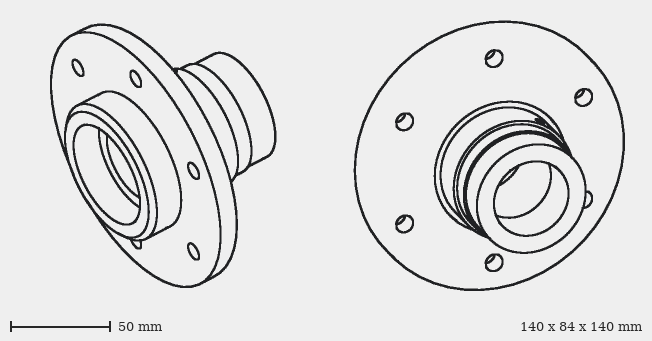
import cadquery as cq
import math

pilot_length = 18.2
flange_back = 30.0
collar_start = 35.0
collar_end = 39.0
seat_end = 58.2
land_end = 68.0
total_length = 84.0

flange_diameter = 140.0
pilot_diameter = 75.0
collar_diameter = 70.0
seat_diameter = 63.8
land_diameter = 60.2
nose_diameter = 58.0
pilot_chamfer = 3.0
flange_rounding = 3.0

counterbore_diameter = 54.9
counterbore_depth = 16.0
bore_diameter = 42.0
lip_diameter = 39.7
lip_start = seat_end

bolt_count = 6
bolt_circle_diameter = 110.0
bolt_hole_diameter = 9.0

oil_hole_diameter = 4.2
oil_hole_y = 52.9
oil_hole_angle = 120.0
oil_hole_lean = -45.0
oil_hole_overshoot = 2.8


def revolved_body():
    """Outer profile, drawn as (radius, Y) and turned about the Y axis."""
    flange_radius = flange_diameter / 2
    pilot_radius = pilot_diameter / 2
    collar_radius = collar_diameter / 2
    root_radius = collar_start - flange_back
    arc_offset = root_radius * (1 - math.sqrt(0.5))
    rounding_offset = flange_rounding * (1 - math.sqrt(0.5))
    profile = (
        cq.Workplane("XY")
        .lineTo(pilot_radius - pilot_chamfer, 0)
        .lineTo(pilot_radius, pilot_chamfer)
        .lineTo(pilot_radius, pilot_length)
        .lineTo(flange_radius, pilot_length)
        .lineTo(flange_radius, flange_back - flange_rounding)
        .threePointArc(
            (flange_radius - rounding_offset, flange_back - rounding_offset),
            (flange_radius - flange_rounding, flange_back),
        )
        .lineTo(collar_radius + root_radius, flange_back)
        .threePointArc(
            (collar_radius + arc_offset, flange_back + arc_offset),
            (collar_radius, collar_start),
        )
        .lineTo(collar_radius, collar_end)
        .lineTo(seat_diameter / 2, collar_end)
        .lineTo(seat_diameter / 2, seat_end)
        .lineTo(land_diameter / 2, seat_end)
        .lineTo(land_diameter / 2, land_end)
        .lineTo(nose_diameter / 2, land_end)
        .lineTo(nose_diameter / 2, total_length)
        .lineTo(0, total_length)
        .close()
    )
    return profile.revolve(360, (0, 0, 0), (0, 1, 0))


def cylinder_along_y(diameter, start, end):
    return cq.Workplane("XZ", origin=(0, start, 0)).circle(diameter / 2).extrude(start - end)


def bolt_holes():
    return (
        cq.Workplane("XZ", origin=(0, pilot_length, 0))
        .polarArray(bolt_circle_diameter / 2, 90, 360, bolt_count)
        .circle(bolt_hole_diameter / 2)
        .extrude(pilot_length - flange_back)
    )


def oil_hole():
    """Slanted hole from the seat surface into the bore."""
    angle = math.radians(oil_hole_angle)
    lean = math.radians(oil_hole_lean)
    inward = cq.Vector(
        -math.cos(angle) * math.cos(lean),
        math.sin(lean),
        -math.sin(angle) * math.cos(lean),
    )
    mouth = cq.Vector(
        seat_diameter / 2 * math.cos(angle),
        oil_hole_y,
        seat_diameter / 2 * math.sin(angle),
    )
    wall = (seat_diameter - bore_diameter) / 2
    length = wall / math.cos(lean) + 2 * oil_hole_overshoot
    start = mouth - inward * oil_hole_overshoot
    return cq.Workplane(cq.Solid.makeCylinder(oil_hole_diameter / 2, length, start, inward))


result = (
    revolved_body()
    .cut(cylinder_along_y(counterbore_diameter, 0, counterbore_depth))
    .cut(cylinder_along_y(bore_diameter, counterbore_depth, lip_start))
    .cut(cylinder_along_y(lip_diameter, lip_start, total_length))
    .cut(bolt_holes())
    .cut(oil_hole())
)